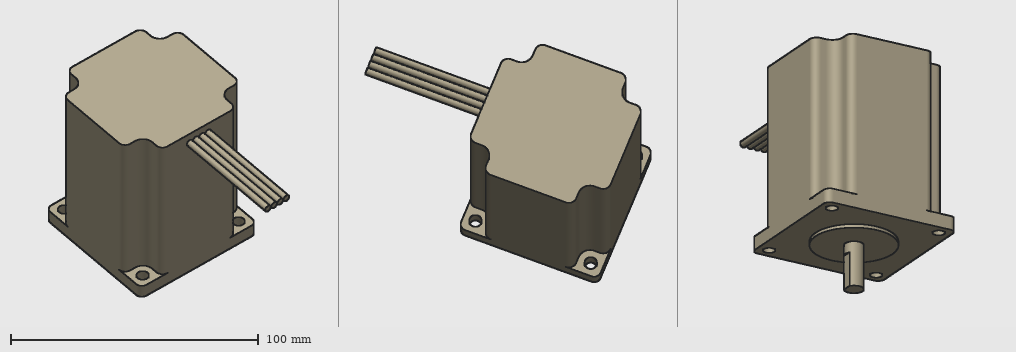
import cadquery as cq

width = 60.5
half_width = width / 2
body_length = 70.4
flange_thickness = 6.1
flange_corner_radius = 2.9
hole_spacing = 50.1
hole_diameter = 5.1

relief_depth = 10.7
relief_inner_radius = 4.9
relief_outer_radius = 3.2

pilot_diameter = 36.0
pilot_height = 1.5
shaft_diameter = 8.1
shaft_length = 19.5
shaft_round_length = 4.6
shaft_flat_depth = 0.7

wire_count = 4
wire_diameter = 3.0
wire_pitch = 3.2
overall_length = 110.5
wire_length = overall_length - width
wire_below_top = 5.0
wire_embed = 1.1


def make_flange():
    """Square plate with rounded corners and a hole near each corner; underside at Z = 0."""
    return (
        cq.Workplane("XY")
        .rect(width, width)
        .extrude(flange_thickness)
        .edges("|Z")
        .fillet(flange_corner_radius)
        .faces(">Z")
        .workplane()
        .rect(hole_spacing, hole_spacing, forConstruction=True)
        .vertices()
        .hole(hole_diameter)
    )


def make_body():
    """Square prism with a rounded relief cut out of each vertical edge."""
    body = cq.Workplane("XY").workplane(offset=flange_thickness).rect(width, width).extrude(body_length)
    reliefs = (
        cq.Workplane("XY")
        .workplane(offset=flange_thickness)
        .rect(width, width, forConstruction=True)
        .vertices()
        .rect(2 * relief_depth, 2 * relief_depth)
        .extrude(body_length)
        .edges("|Z")
        .fillet(relief_inner_radius)
    )
    body = body.cut(reliefs)
    side_edges = body.edges("(|Z) and (<X or >X or <Y or >Y)")
    return side_edges.fillet(relief_outer_radius)


def make_shaft():
    """Round shaft below the pilot, with a flat on its +Y side along the lower part."""
    shaft = (
        cq.Workplane("XY")
        .workplane(offset=-pilot_height)
        .circle(shaft_diameter / 2)
        .extrude(-shaft_length)
    )
    flat_cutter = (
        cq.Workplane("XY")
        .workplane(offset=-pilot_height - shaft_round_length)
        .center(0, shaft_diameter - shaft_flat_depth)
        .rect(2 * shaft_diameter, shaft_diameter)
        .extrude(shaft_round_length - shaft_length)
    )
    return shaft.cut(flat_cutter)


def make_wires():
    """Parallel round wires side by side along Y, rooted inside the body."""
    wire_z = flange_thickness + body_length - wire_below_top
    wires = cq.Workplane("YZ").workplane(offset=half_width - wire_embed)
    offsets = [(i - (wire_count - 1) / 2) * wire_pitch for i in range(wire_count)]
    return (
        wires.pushPoints([(y, wire_z) for y in offsets])
        .circle(wire_diameter / 2)
        .extrude(wire_embed + wire_length)
    )


pilot = cq.Workplane("XY").circle(pilot_diameter / 2).extrude(-pilot_height)
result = make_flange().union(make_body()).union(pilot).union(make_shaft()).union(make_wires())